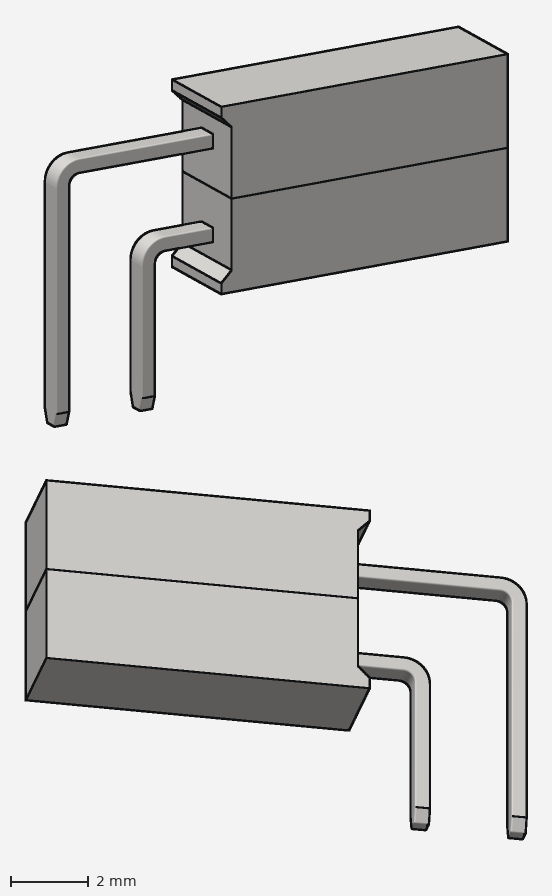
import cadquery as cq
import math


overall_length = 12.84
overall_height = 8.28
pitch = 2.54

housing_depth = 8.19
lip_projection = 0.31
lip_thickness = 0.3
lip_slope_height = lip_projection

pin_width = 0.64
pin_thickness = 0.4
pin_edge_radius = 0.045
bend_inner_radius = 0.3
tip_length = 0.4
tip_width = 0.37

bend_radius = bend_inner_radius + pin_thickness / 2
pin_row_height = pitch / 2
pin_bottom = pitch - overall_height
tip_top = pin_bottom + tip_length
upper_leg_y = housing_depth - overall_length + pin_thickness / 2
lower_leg_y = upper_leg_y + pitch


def housing_block(side):
    """Housing of one row, with a lip on its outer edge; side is +1 above the joint, -1 below."""
    lip_end_z = side * (pitch - lip_thickness)
    slope_end_z = side * (pitch - lip_thickness - lip_slope_height)
    return (
        cq.Workplane("YZ")
        .moveTo(0, 0)
        .lineTo(housing_depth, 0)
        .lineTo(housing_depth, side * pitch)
        .lineTo(-lip_projection, side * pitch)
        .lineTo(-lip_projection, lip_end_z)
        .lineTo(0, slope_end_z)
        .close()
        .extrude(pitch / 2, both=True)
    )


def bar_section(width):
    """Cross-section of the pin: a rectangle with rounded long edges."""
    return cq.Sketch().rect(width, pin_thickness).vertices().fillet(pin_edge_radius)


def bent_bar(leg_y, row_z):
    """Bar of constant section that leaves the wall at row_z and bends down at leg_y to the tip."""
    arc_inset = bend_radius * (1 - math.sqrt(0.5))
    path = (
        cq.Workplane("YZ")
        .moveTo(0, row_z)
        .lineTo(leg_y + bend_radius, row_z)
        .threePointArc((leg_y + arc_inset, row_z - arc_inset), (leg_y, row_z - bend_radius))
        .lineTo(leg_y, tip_top)
    )
    return cq.Workplane("XZ", origin=(0, 0, row_z)).placeSketch(bar_section(pin_width)).sweep(path)


def pin_tip(leg_y):
    """End of the pin, narrowing in X only, with its front and back end edges rounded."""
    end_section = bar_section(tip_width)
    top_section = bar_section(pin_width).moved(cq.Location(cq.Vector(0, 0, tip_length)))
    tip = (
        cq.Workplane("XY", origin=(0, leg_y, pin_bottom))
        .placeSketch(end_section, top_section)
        .loft(ruled=True)
    )
    return tip.faces("<Z").edges("|X").fillet(pin_edge_radius)


def socket_row(side, leg_y):
    """One row of the socket: a housing block and the pin fixed in it."""
    pin = bent_bar(leg_y, side * pin_row_height).union(pin_tip(leg_y))
    return housing_block(side).union(pin)


rows = [socket_row(side, leg_y) for side, leg_y in ((1, upper_leg_y), (-1, lower_leg_y))]

result = cq.Compound.makeCompound([row.solids().val() for row in rows])